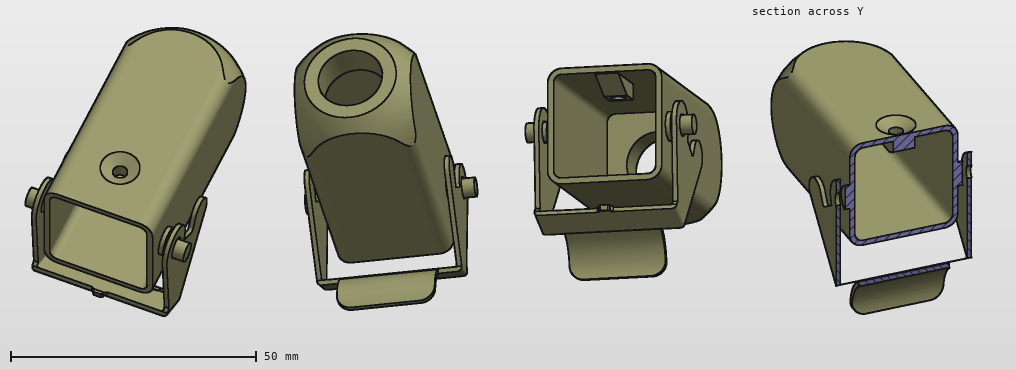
import cadquery as cq
import math

HOUSING_SIDE = 24.0
HOUSING_LENGTH = 50.05
CORNER_RADIUS = 3.0
WALL = 1.25
BACK_WALL = 7.5
DOME_RADIUS = 15.95
DOME_CENTRE_DEPTH = 12.85
CABLE_HOLE_DIAMETER = 13.25

SCREW_Y = 11.1
SCREW_DIAMETER = 3.0
COUNTERSINK_DIAMETER = 8.1
COUNTERSINK_DEPTH = 1.4
BOSS_WIDTH = 4.85
BOSS_DROP = 3.3
BOSS_RAMP_LENGTH = 7.1

PIN_Y = 5.0
PIN_DIAMETER = 4.0
PIN_SPAN = 35.0
COLLAR_Y = 5.95
COLLAR_DIAMETER = 6.0
COLLAR_THICKNESS = 1.0

LEVER_WIDTH = 29.95
SHEET = 1.0
PIVOT_HOLE_DIAMETER = 4.5
PIVOT_Y = 5.25
PIVOT_LOBE_CENTRE = (5.2, 0.2)
PIVOT_LOBE_RADIUS = 4.75
PIVOT_LOBE_START = -17.5
PIVOT_LOBE_END = 183.8
HOOK_CENTRE = (17.85, -3.9)
HOOK_RADIUS = 3.15
HOOK_START = -43.0
HOOK_END = 152.0
NOTCH_BOTTOM = (13.55, -5.15)
NOTCH_BOTTOM_RADIUS = 0.75
NOTCH_TOP = (9.2, -2.4)
NOTCH_TOP_RADIUS = 0.6
PLATE_FRONT_CORNER = (1.5, -16.55)
STRIP_FRONT_TOP = (0.75, -17.3)
STRIP_ANGLE = 24.1
STRIP_LENGTH = 6.9
BEND_RADIUS = 0.95
INNER_BEND_RADIUS = 0.4

HANDLE_WIDTH = 20.2
HANDLE_CENTRE = (1.65, -28.05)
HANDLE_INNER_RADIUS = 8.5
HANDLE_ROOT_ANGLE = 55.5
HANDLE_TIP_ANGLE = -14.0
HANDLE_BOTTOM = -29.945
HANDLE_CORNER_RADIUS = 3.0

TAB_ROOT_WIDTH = 3.3
TAB_WIDTH = 2.2
TAB_TIP_WIDTH = 1.5
TAB_TOP = -16.9
TAB_HEIGHT = 1.15
TAB_ROOT_Y = 1.5
TAB_FLARE_Y = 0.5
TAB_NECK_Y = 0.15
TAB_SHOULDER_Y = -0.2
TAB_TIP_Y = -0.5


def polar(centre, radius, degrees):
    """Point on a circle in the YZ plane."""
    angle = math.radians(degrees)
    return (centre[0] + radius * math.cos(angle), centre[1] + radius * math.sin(angle))


def rounded_bar(side, radius, length):
    """Square bar with rounded long edges, running from Y = 0 to Y = length."""
    return (
        cq.Workplane("XZ")
        .rect(side, side)
        .extrude(-length)
        .edges("|Y")
        .fillet(radius)
    )


def cylinder_along_x(y, diameter, length):
    """Cylinder centred on X = 0."""
    return cq.Workplane("YZ").center(y, 0).circle(diameter / 2).extrude(length / 2, both=True)


def domed_shell():
    """Tube whose back end is trimmed by a sphere, with a cable hole in its back wall."""
    dome_y = HOUSING_LENGTH - DOME_CENTRE_DEPTH
    dome = cq.Workplane("XY").sphere(DOME_RADIUS).translate((0, dome_y, 0))
    straight_part = cq.Workplane("XZ").rect(HOUSING_SIDE, HOUSING_SIDE).extrude(-dome_y)
    shell = rounded_bar(HOUSING_SIDE, CORNER_RADIUS, HOUSING_LENGTH).intersect(straight_part.union(dome))
    cavity = rounded_bar(HOUSING_SIDE - 2 * WALL, CORNER_RADIUS - WALL, HOUSING_LENGTH - BACK_WALL)
    cable_hole = cq.Workplane("XZ").circle(CABLE_HOLE_DIAMETER / 2).extrude(-HOUSING_LENGTH)
    return shell.cut(cavity).cut(cable_hole)


def screw_boss():
    """Block under the roof with a ramped front, wide enough to surround the screw hole."""
    roof = HOUSING_SIDE / 2 - WALL / 2
    underside = HOUSING_SIDE / 2 - WALL - BOSS_DROP
    back = SCREW_Y + BOSS_WIDTH / 2
    ramp_end = SCREW_Y - BOSS_WIDTH / 2
    ramp_start = ramp_end - BOSS_RAMP_LENGTH
    return (
        cq.Workplane("YZ")
        .polyline([
            (ramp_start, roof),
            (ramp_start, HOUSING_SIDE / 2 - WALL),
            (ramp_end, underside),
            (back, underside),
            (back, roof),
        ])
        .close()
        .extrude(BOSS_WIDTH / 2, both=True)
    )


def screw_hole():
    """Countersunk hole going down through the roof and its boss."""
    roof = HOUSING_SIDE / 2
    radius = SCREW_DIAMETER / 2
    depth = WALL + BOSS_DROP
    return (
        cq.Workplane("XZ")
        .polyline([
            (0, roof),
            (COUNTERSINK_DIAMETER / 2, roof),
            (radius, roof - COUNTERSINK_DEPTH),
            (radius, roof - depth),
            (0, roof - depth),
        ])
        .close()
        .revolve(360, (0, 0), (0, 1))
        .translate((0, SCREW_Y, 0))
    )


def hinge_pins():
    """Pins and collars on both sides, clear of the inside of the tube."""
    collar_span = HOUSING_SIDE + 2 * COLLAR_THICKNESS
    pins = cylinder_along_x(PIN_Y, PIN_DIAMETER, PIN_SPAN)
    collars = cylinder_along_x(COLLAR_Y, COLLAR_DIAMETER, collar_span)
    gap = cq.Workplane("XZ").rect(HOUSING_SIDE - WALL, HOUSING_SIDE).extrude(-HOUSING_LENGTH)
    return pins.union(collars).cut(gap)


def make_housing():
    return domed_shell().union(screw_boss()).cut(screw_hole()).union(hinge_pins()).solids()


def strip_points():
    """Front top, front bottom, back bottom and back top of the strip section."""
    front_bottom = polar(STRIP_FRONT_TOP, SHEET, -90 - STRIP_ANGLE)
    back_bottom = polar(front_bottom, STRIP_LENGTH, -STRIP_ANGLE)
    back_top = polar(STRIP_FRONT_TOP, STRIP_LENGTH, -STRIP_ANGLE)
    return STRIP_FRONT_TOP, front_bottom, back_bottom, back_top


def lever_channel():
    """The two side plates and the strip that joins them, as a bent U."""
    front_top, front_bottom, back_bottom, back_top = strip_points()
    block = (
        cq.Workplane("YZ")
        .moveTo(*polar(HOOK_CENTRE, HOOK_RADIUS, HOOK_START))
        .threePointArc(
            polar(HOOK_CENTRE, HOOK_RADIUS, (HOOK_START + HOOK_END) / 2),
            polar(HOOK_CENTRE, HOOK_RADIUS, HOOK_END),
        )
        .lineTo(*NOTCH_BOTTOM)
        .lineTo(*NOTCH_TOP)
        .lineTo(*polar(PIVOT_LOBE_CENTRE, PIVOT_LOBE_RADIUS, PIVOT_LOBE_START))
        .threePointArc(
            polar(PIVOT_LOBE_CENTRE, PIVOT_LOBE_RADIUS, (PIVOT_LOBE_START + PIVOT_LOBE_END) / 2),
            polar(PIVOT_LOBE_CENTRE, PIVOT_LOBE_RADIUS, PIVOT_LOBE_END),
        )
        .lineTo(*PLATE_FRONT_CORNER)
        .lineTo(*front_top)
        .lineTo(*front_bottom)
        .lineTo(*back_bottom)
        .lineTo(*back_top)
        .close()
        .extrude(LEVER_WIDTH / 2, both=True)
    )
    for corner, radius in ((NOTCH_BOTTOM, NOTCH_BOTTOM_RADIUS), (NOTCH_TOP, NOTCH_TOP_RADIUS)):
        block = block.edges(cq.NearestToPointSelector((0, *corner))).fillet(radius)

    middle = polar(front_bottom, STRIP_LENGTH / 2, -STRIP_ANGLE)
    for x in (-LEVER_WIDTH / 2, LEVER_WIDTH / 2):
        block = block.edges(cq.NearestToPointSelector((x, *middle))).fillet(BEND_RADIUS)

    reach = LEVER_WIDTH
    behind = polar(front_top, reach, -STRIP_ANGLE)
    ahead = polar(front_top, reach, 180 - STRIP_ANGLE)
    between_plates = (
        cq.Workplane("YZ")
        .polyline([
            ahead,
            behind,
            polar(behind, reach, 90 - STRIP_ANGLE),
            polar(ahead, reach, 90 - STRIP_ANGLE),
        ])
        .close()
        .extrude(LEVER_WIDTH / 2 - SHEET, both=True)
    )
    for x in (SHEET - LEVER_WIDTH / 2, LEVER_WIDTH / 2 - SHEET):
        inner_bend = cq.NearestToPointSelector((x, *front_top))
        between_plates = between_plates.edges(inner_bend).fillet(INNER_BEND_RADIUS)
    pivot_hole = cylinder_along_x(PIVOT_Y, PIVOT_HOLE_DIAMETER, LEVER_WIDTH)
    return block.cut(between_plates).cut(pivot_hole)


def lever_handle():
    """Curved finger plate with rounded lower corners."""
    outer_radius = HANDLE_INNER_RADIUS + SHEET
    middle_angle = (HANDLE_ROOT_ANGLE + HANDLE_TIP_ANGLE) / 2
    curved_plate = (
        cq.Workplane("YZ")
        .moveTo(*polar(HANDLE_CENTRE, outer_radius, HANDLE_TIP_ANGLE))
        .threePointArc(
            polar(HANDLE_CENTRE, outer_radius, middle_angle),
            polar(HANDLE_CENTRE, outer_radius, HANDLE_ROOT_ANGLE),
        )
        .lineTo(*polar(HANDLE_CENTRE, HANDLE_INNER_RADIUS, HANDLE_ROOT_ANGLE))
        .threePointArc(
            polar(HANDLE_CENTRE, HANDLE_INNER_RADIUS, middle_angle),
            polar(HANDLE_CENTRE, HANDLE_INNER_RADIUS, HANDLE_TIP_ANGLE),
        )
        .close()
        .extrude(HANDLE_WIDTH / 2, both=True)
    )
    front_outline = (
        cq.Workplane("XZ")
        .center(0, HANDLE_BOTTOM + HANDLE_WIDTH / 2)
        .rect(HANDLE_WIDTH, HANDLE_WIDTH)
        .extrude(-HOUSING_LENGTH)
        .edges("|Y and <Z")
        .fillet(HANDLE_CORNER_RADIUS)
    )
    return curved_plate.intersect(front_outline)


def lever_tab():
    """Small tab that flares out of the front edge of the strip and bends level."""
    front_top, front_bottom, _, _ = strip_points()
    right_side = [
        (TAB_ROOT_WIDTH / 2, TAB_ROOT_Y),
        (TAB_ROOT_WIDTH / 2, TAB_FLARE_Y),
        (TAB_WIDTH / 2, TAB_NECK_Y),
        (TAB_WIDTH / 2, TAB_SHOULDER_Y),
        (TAB_TIP_WIDTH / 2, TAB_TIP_Y),
    ]
    left_side = [(-x, y) for x, y in reversed(right_side)]
    plan = (
        cq.Workplane("XY", origin=(0, 0, TAB_TOP))
        .polyline(right_side + left_side)
        .close()
        .extrude(-LEVER_WIDTH)
    )
    tab_bottom = TAB_TOP - TAB_HEIGHT
    bent_section = (
        cq.Workplane("YZ")
        .polyline([
            (TAB_TIP_Y, TAB_TOP),
            (TAB_NECK_Y, TAB_TOP),
            front_top,
            polar(front_top, SHEET, -STRIP_ANGLE),
            polar(front_bottom, SHEET, -STRIP_ANGLE),
            front_bottom,
            (TAB_NECK_Y, tab_bottom),
            (TAB_TIP_Y, tab_bottom),
        ])
        .close()
        .extrude(LEVER_WIDTH / 2, both=True)
    )
    return plan.intersect(bent_section)


def make_lever():
    return lever_channel().union(lever_handle()).union(lever_tab()).solids()


housing = make_housing()
lever = make_lever()
result = cq.Compound.makeCompound([housing.val(), lever.val()])